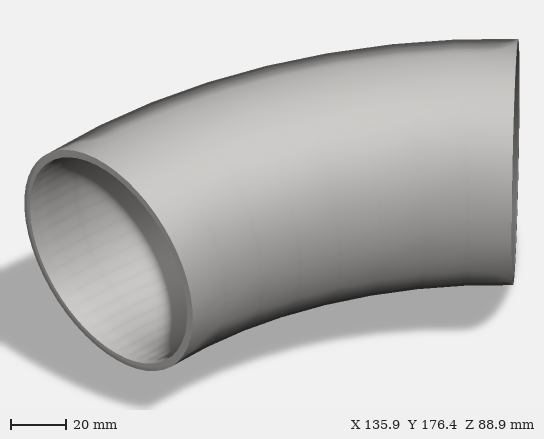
import cadquery as cq
import math

bend_angle = 45.0
bend_height = 176.4
tube_diameter = 88.9
wall_thickness = 3.0

outer_radius = tube_diameter / 2
inner_radius = outer_radius - wall_thickness
outer_curve_radius = bend_height / math.sin(math.radians(bend_angle))
bend_radius = outer_curve_radius - outer_radius

result = (
    cq.Workplane("XZ")
    .circle(outer_radius)
    .circle(inner_radius)
    .revolve(bend_angle, (bend_radius, 0), (bend_radius, -1))
)